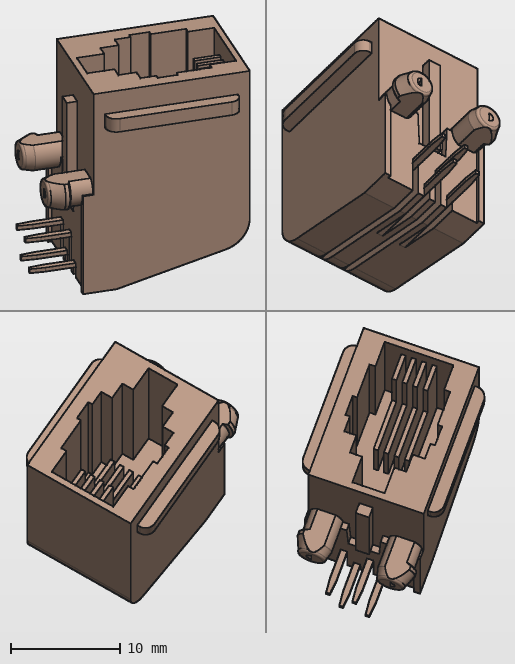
import cadquery as cq
import math


BODY_WIDTH = 11.2
BODY_DEPTH = 15.0
BODY_HEIGHT = 20.6
SLOPE_START = 2.2
SLOPE_ANGLE = 13.1
HEEL_RADIUS = 3.0

PLATE_TOP = 10.15
PLATE_THICKNESS = 0.65
RAIL_WIDTH = 0.6
RAIL_THICKNESS = 1.0
NOTCH_BOTTOM = 6.47
NOTCH_TOP_WIDTH = 3.3
NOTCH_BOTTOM_WIDTH = 2.99
RIB_WIDTH = 1.3
RIB_TOP = 17.32

EAR_SPAN = 13.7
EAR_FRONT = 1.1
EAR_LENGTH = 12.75
EAR_BOTTOM = 17.0
EAR_THICKNESS = 1.35
EAR_RADIUS = 1.0

CAVITY_FLOOR = NOTCH_BOTTOM
CAVITY_BACK = 14.38
CAVITY_STEPS = [
    (1.57, 0.65),
    (2.75, 3.28),
    (3.91, 5.03),
    (4.35, 6.55),
    (3.91, 8.49),
    (3.34, 11.87),
]

CONTACT_COUNT = 4
CONTACT_PITCH = 1.0
CONTACT_WIDTH = 0.43
CONTACT_TOP = 18.62
CONTACT_BEND = 11.87
CONTACT_REACH = 6.88
CONTACT_LOW_TOP = 12.35

PIN_PITCH = 1.28
PIN_WIDTH = 0.64
PIN_THICKNESS = 0.43
PIN_TIP_WIDTH = 0.37
PIN_REACH = 5.0
PIN_TAPER_START = 3.58
PIN_ROOT = 1.03
PIN_UNDERSIDES = [3.55, 1.03, 3.55, 1.03]

PEG_OFFSET = 3.83
PEG_HEIGHT = 10.11
PEG_FLAT_HEIGHT = 2.64
PEG_LENGTH = 4.2
STEM_RADIUS = 1.59
BARB_RADIUS = 1.87
BARB_START = 2.1
BARB_FULL = 2.29
BARB_END = 2.68
CORE_TAPER_START = 3.11
TIP_RADIUS = 1.35
TIP_FACE_RADIUS = 1.07
TIP_ROUNDING = 0.27
TIP_SHOULDER = PEG_LENGTH - TIP_ROUNDING
DIMPLE_RADIUS = 0.45
DIMPLE_DEPTH = 0.45


def box(x0, x1, y0, y1, z0, z1):
    return cq.Workplane("XY").box(x1 - x0, y1 - y0, z1 - z0, centered=False).translate((x0, y0, z0))


def housing():
    heel_height = (BODY_DEPTH - SLOPE_START) * math.tan(math.radians(SLOPE_ANGLE))
    profile = [
        (0, 0),
        (SLOPE_START, 0),
        (BODY_DEPTH, heel_height),
        (BODY_DEPTH, BODY_HEIGHT),
        (0, BODY_HEIGHT),
    ]
    body = cq.Workplane("YZ").polyline(profile).close().extrude(BODY_WIDTH / 2, both=True)
    heel_edge = cq.selectors.NearestToPointSelector((0, BODY_DEPTH, heel_height))
    return body.edges(heel_edge).fillet(HEEL_RADIUS)


def ears():
    bar = box(-EAR_SPAN / 2, EAR_SPAN / 2, EAR_FRONT, EAR_FRONT + EAR_LENGTH,
              EAR_BOTTOM, EAR_BOTTOM + EAR_THICKNESS)
    return bar.edges("|Z").fillet(EAR_RADIUS)


def board_plate():
    plate = box(-BODY_WIDTH / 2, BODY_WIDTH / 2, -PLATE_THICKNESS, 0, 0, PLATE_TOP)
    notch_outline = [
        (-NOTCH_BOTTOM_WIDTH / 2, NOTCH_BOTTOM),
        (NOTCH_BOTTOM_WIDTH / 2, NOTCH_BOTTOM),
        (NOTCH_TOP_WIDTH / 2, PLATE_TOP),
        (-NOTCH_TOP_WIDTH / 2, PLATE_TOP),
    ]
    notch = cq.Workplane("XZ").polyline(notch_outline).close().extrude(PLATE_THICKNESS)
    return plate.cut(notch)


def rails_and_rib():
    outer = BODY_WIDTH / 2
    rib = box(-RIB_WIDTH / 2, RIB_WIDTH / 2, -RAIL_THICKNESS, 0, NOTCH_BOTTOM, RIB_TOP)
    left_rail = box(-outer, RAIL_WIDTH - outer, -RAIL_THICKNESS, 0, 0, PLATE_TOP)
    return rib.union(left_rail).union(left_rail.mirror("YZ"))


def plug_cavity():
    step_ends = [start for _, start in CAVITY_STEPS[1:]] + [CAVITY_BACK]
    cavity = cq.Workplane("XY")
    for (half_width, start), end in zip(CAVITY_STEPS, step_ends):
        cavity = cavity.union(box(-half_width, half_width, start, end, CAVITY_FLOOR, BODY_HEIGHT))
    return cavity


def contact(x):
    left = x - CONTACT_WIDTH / 2
    right = x + CONTACT_WIDTH / 2
    tall = box(left, right, CONTACT_BEND, CAVITY_BACK, CAVITY_FLOOR, CONTACT_TOP)
    low = box(left, right, CONTACT_REACH, CONTACT_BEND, CAVITY_FLOOR, CONTACT_LOW_TOP)
    return tall.union(low)


def pin(x, underside):
    half = PIN_WIDTH / 2
    half_tip = PIN_TIP_WIDTH / 2
    outline = [
        (x - half, PIN_ROOT),
        (x - half, -PIN_TAPER_START),
        (x - half_tip, -PIN_REACH),
        (x + half_tip, -PIN_REACH),
        (x + half, -PIN_TAPER_START),
        (x + half, PIN_ROOT),
    ]
    return cq.Workplane("XY", origin=(0, 0, underside)).polyline(outline).close().extrude(PIN_THICKNESS)


def pin_slot(x, underside):
    return box(x - PIN_WIDTH / 2, x + PIN_WIDTH / 2, -PLATE_THICKNESS, BODY_DEPTH, 0, underside)


def peg_core():
    """Turned peg about the Y axis, without its barb."""
    diagonal = math.sqrt(0.5)
    round_middle = (
        TIP_FACE_RADIUS + (TIP_RADIUS - TIP_FACE_RADIUS) * diagonal,
        -TIP_SHOULDER - TIP_ROUNDING * diagonal,
    )
    return (
        cq.Workplane("XY")
        .lineTo(STEM_RADIUS, 0)
        .lineTo(STEM_RADIUS, -CORE_TAPER_START)
        .lineTo(TIP_RADIUS, -TIP_SHOULDER)
        .threePointArc(round_middle, (TIP_FACE_RADIUS, -PEG_LENGTH))
        .lineTo(0, -PEG_LENGTH)
        .close()
        .revolve(360, (0, 0), (0, 1))
    )


def barb():
    """Half ring on the -X side, rooted inside the peg core."""
    profile = [
        (-BARB_START, TIP_FACE_RADIUS),
        (-BARB_START, STEM_RADIUS),
        (-BARB_FULL, BARB_RADIUS),
        (-BARB_END, BARB_RADIUS),
        (-TIP_SHOULDER, TIP_RADIUS),
        (-TIP_SHOULDER, TIP_FACE_RADIUS),
    ]
    return cq.Workplane("YZ").polyline(profile).close().revolve(180, (0, 0), (-1, 0))


def dimple():
    """Half cone on the -X side, sunk into the tip face."""
    profile = [(-PEG_LENGTH, 0), (-PEG_LENGTH, DIMPLE_RADIUS), (DIMPLE_DEPTH - PEG_LENGTH, 0)]
    return cq.Workplane("YZ").polyline(profile).close().revolve(180, (0, 0), (-1, 0))


def left_peg():
    flats = box(-BARB_RADIUS, BARB_RADIUS, -PEG_LENGTH, 0, -PEG_FLAT_HEIGHT / 2, PEG_FLAT_HEIGHT / 2)
    peg = peg_core().union(barb()).cut(dimple()).intersect(flats)
    return peg.translate((-PEG_OFFSET, 0, PEG_HEIGHT))


def centred_positions(count, pitch):
    return [(i - (count - 1) / 2) * pitch for i in range(count)]


result = housing().union(ears()).union(board_plate()).union(rails_and_rib())
result = result.cut(plug_cavity())
for contact_x in centred_positions(CONTACT_COUNT, CONTACT_PITCH):
    result = result.union(contact(contact_x))
for pin_x, pin_underside in zip(centred_positions(len(PIN_UNDERSIDES), PIN_PITCH), PIN_UNDERSIDES):
    result = result.cut(pin_slot(pin_x, pin_underside)).union(pin(pin_x, pin_underside))
peg_on_left = left_peg()
result = result.union(peg_on_left).union(peg_on_left.mirror("YZ"))